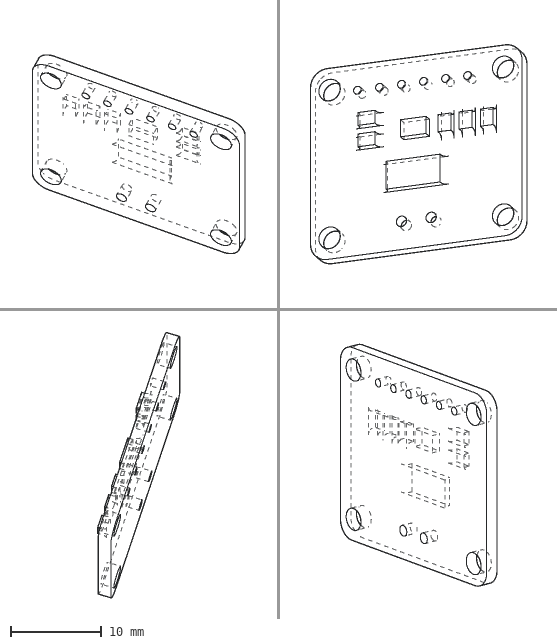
import cadquery as cq

board_width = 25.0
board_height = 22.3
board_thickness = 1.5
corner_radius = 2.0

mount_diameter = 2.5
mount_spacing_x = 20.5
mount_spacing_z = 17.25
mount_middle_z = -0.025

pin_diameter = 0.9
pin_count = 6
pin_pitch = 2.6
pin_row_x = 0.45
pin_row_z = 8.15

terminal_diameter = 1.2
terminal_count = 2
terminal_spacing = 3.5
terminal_z = -7.85

chip_length = 2.0
chip_width = 1.5
chip_thickness = 1.0
chip_pitch = 2.5
solder_radius = 0.6

upright_count = 3
upright_middle_x = -6.22
upright_z = 2.64

flat_count = 2
flat_x = 5.48
flat_middle_z = 3.14

shunt_length = 6.4
shunt_width = 3.25
shunt_thickness = 0.95
shunt_z = -2.6

amplifier_width = 3.0
amplifier_x = -0.04
amplifier_height = 2.0
amplifier_z = upright_z


def row_positions(count, pitch, middle):
    """Evenly spaced coordinates centred on `middle`."""
    return [middle + (index - (count - 1) / 2) * pitch for index in range(count)]


def drill(body, points, diameter):
    """Cut holes through the full board thickness at the given (x, z) points."""
    cutters = (
        cq.Workplane("XZ")
        .pushPoints(points)
        .circle(diameter / 2)
        .extrude(-board_thickness)
    )
    return body.cut(cutters)


def make_board():
    board = (
        cq.Workplane("XZ")
        .rect(board_width, board_height)
        .extrude(-board_thickness)
        .edges("|Y")
        .fillet(corner_radius)
    )
    mount_points = [
        (side_x * mount_spacing_x / 2, mount_middle_z + side_z * mount_spacing_z / 2)
        for side_x in (-1, 1)
        for side_z in (-1, 1)
    ]
    pin_points = [(x, pin_row_z) for x in row_positions(pin_count, pin_pitch, pin_row_x)]
    terminal_points = [(x, terminal_z) for x in row_positions(terminal_count, terminal_spacing, 0)]
    board = drill(board, mount_points, mount_diameter)
    board = drill(board, pin_points, pin_diameter)
    return drill(board, terminal_points, terminal_diameter)


def make_chip(length, width, thickness):
    """Chip lying along X, centred on the origin, rising in +Y from the board's back face."""
    base = board_thickness
    top = base + thickness
    fillet_top = base + solder_radius
    half = length / 2
    foot = half + solder_radius
    arc_inset = solder_radius * (1 - 0.5 ** 0.5)
    return (
        cq.Workplane("XY", origin=(0, 0, -width / 2))
        .moveTo(-foot, base)
        .lineTo(foot, base)
        .threePointArc((half + arc_inset, base + arc_inset), (half, fillet_top))
        .lineTo(half, top)
        .lineTo(-half, top)
        .lineTo(-half, fillet_top)
        .threePointArc((-half - arc_inset, base + arc_inset), (-foot, base))
        .close()
        .extrude(width)
    )


def make_amplifier():
    return (
        cq.Workplane("XZ", origin=(amplifier_x, board_thickness, amplifier_z))
        .rect(amplifier_width, amplifier_height)
        .extrude(-chip_thickness)
    )


flat_chip = make_chip(chip_length, chip_width, chip_thickness)
upright_chip = flat_chip.rotate((0, 0, 0), (0, 1, 0), 90)
shunt = make_chip(shunt_length, shunt_width, shunt_thickness)

result = make_board()
for chip_x in row_positions(upright_count, chip_pitch, upright_middle_x):
    result = result.union(upright_chip.translate((chip_x, 0, upright_z)))
for chip_z in row_positions(flat_count, chip_pitch, flat_middle_z):
    result = result.union(flat_chip.translate((flat_x, 0, chip_z)))
result = result.union(shunt.translate((0, 0, shunt_z)))
result = result.union(make_amplifier())